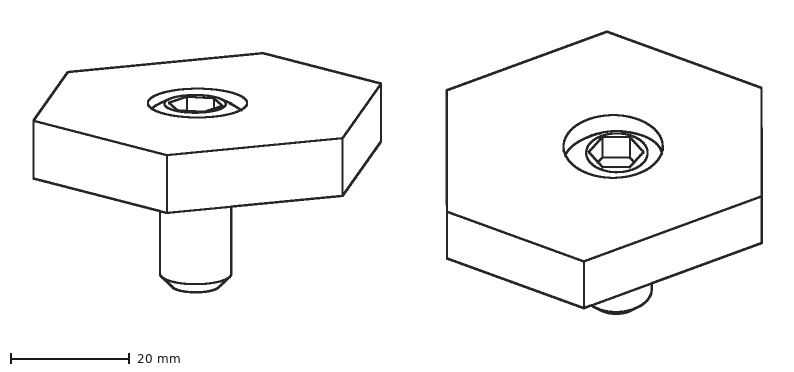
import cadquery as cq
import math

SIDES = 6
SIDE_ANGLE = 360 / SIDES
NEAREST_SIDE = 24.0
SIDE_STEP = 1.0
PLATE_THICKNESS = 10.15
BORE_DIAMETER = 16.7

HEAD_DIAMETER = 16.45
SHANK_OFFSET = -1.0
SHANK_DIAMETER = 12.05
SHANK_LENGTH = 22.2
TIP_CHAMFER_HEIGHT = 2.05
TIP_DIAMETER = 8.05

DOME_OFFSET = -1.25
DOME_RADIUS = 12.5
FLAT_DIAMETER = 10.35
FLAT_DEPTH = 0.5

SOCKET_ACROSS_FLATS = 8.0
SOCKET_DEPTH = 4.4

flat_height = PLATE_THICKNESS - FLAT_DEPTH


def hexagon_corner(index):
    """Corner where side `index` meets the next side counterclockwise."""
    this_side = NEAREST_SIDE + SIDE_STEP * index
    next_side = NEAREST_SIDE + SIDE_STEP * ((index + 1) % SIDES)
    turn = math.radians(SIDE_ANGLE)
    along = (next_side - this_side * math.cos(turn)) / math.sin(turn)
    facing = math.pi + turn * index
    x = this_side * math.cos(facing) - along * math.sin(facing)
    y = this_side * math.sin(facing) + along * math.cos(facing)
    return x, y


def make_washer():
    corners = [hexagon_corner(index) for index in range(SIDES)]
    plate = cq.Workplane("XY").polyline(corners).close().extrude(PLATE_THICKNESS)
    bore = cq.Workplane("XY").circle(BORE_DIAMETER / 2).extrude(PLATE_THICKNESS)
    return plate.cut(bore)


def make_head():
    """Eccentric cylinder whose top is trimmed by the offset dome."""
    head = cq.Workplane("XY").circle(HEAD_DIAMETER / 2).extrude(flat_height)
    dome_centre = flat_height - math.sqrt(DOME_RADIUS**2 - (FLAT_DIAMETER / 2)**2)
    dome = cq.Workplane("XY").sphere(DOME_RADIUS).translate((DOME_OFFSET, 0, dome_centre))
    return head.intersect(dome)


def make_shank():
    """Straight shank below the head, ending in a conical tip."""
    chamfer_top = TIP_CHAMFER_HEIGHT - SHANK_LENGTH
    profile = [
        (0, 0),
        (SHANK_DIAMETER / 2, 0),
        (SHANK_DIAMETER / 2, chamfer_top),
        (TIP_DIAMETER / 2, -SHANK_LENGTH),
        (0, -SHANK_LENGTH),
    ]
    shank = cq.Workplane("XZ").polyline(profile).close().revolve(360, (0, 0), (0, 1))
    return shank.translate((SHANK_OFFSET, 0, 0))


def make_socket():
    """Hexagonal tool that cuts the socket, with corners on the X axis."""
    across_corners = SOCKET_ACROSS_FLATS / math.cos(math.pi / SIDES)
    socket = cq.Workplane("XY").polygon(SIDES, across_corners).extrude(SOCKET_DEPTH)
    return socket.translate((SHANK_OFFSET, 0, flat_height - SOCKET_DEPTH))


def make_cam_screw():
    return make_head().union(make_shank()).cut(make_socket())


washer = make_washer()
cam_screw = make_cam_screw()

result = cq.Compound.makeCompound([washer.val(), cam_screw.val()])